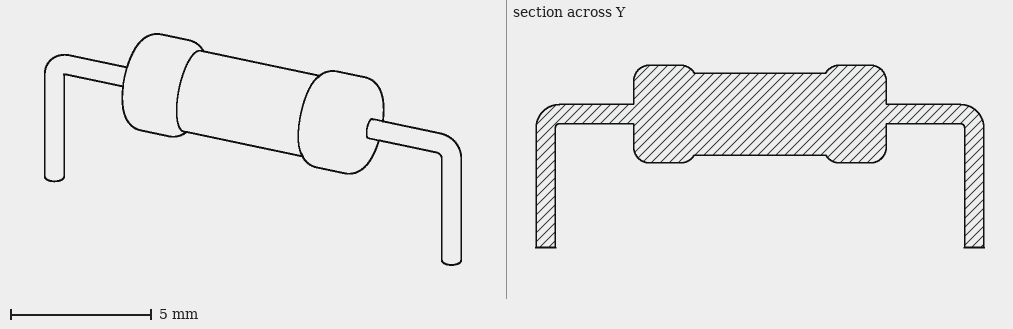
import cadquery as cq

lead_diameter = 0.7
lead_pitch = 15.24
bend_radius = 0.5
overall_height = 6.5

body_length = 9.0
barrel_diameter = 2.94
cap_diameter = 3.5
cap_length = body_length / 4
cap_rounding = cap_diameter / 6

barrel_radius = barrel_diameter / 2
cap_radius = cap_diameter / 2
axis_height = overall_height - cap_radius
half_pitch = lead_pitch / 2
half_body = body_length / 2


def make_barrel():
    """Slim middle of the body, ending halfway inside each cap."""
    half_barrel = half_body - cap_length / 2
    barrel = cq.Workplane("YZ").circle(barrel_radius).extrude(half_barrel, both=True)
    return barrel.translate((0, 0, axis_height))


def make_cap():
    """Round-edged cap on the +X end of the body."""
    cap = cq.Workplane("YZ", origin=(half_body - cap_length, 0, axis_height))
    cap = cap.circle(cap_radius).extrude(cap_length)
    return cap.edges("%CIRCLE").fillet(cap_rounding)


def make_lead():
    """One wire from tip to tip, running through the body and bent down at both ends."""
    bend_start = half_pitch - bend_radius
    bend_bottom = axis_height - bend_radius
    path = (
        cq.Workplane("XZ")
        .moveTo(-half_pitch, 0)
        .lineTo(-half_pitch, bend_bottom)
        .radiusArc((-bend_start, axis_height), bend_radius)
        .lineTo(bend_start, axis_height)
        .radiusArc((half_pitch, bend_bottom), bend_radius)
        .lineTo(half_pitch, 0)
    )
    wire_section = cq.Workplane("XY", origin=(-half_pitch, 0, 0)).circle(lead_diameter / 2)
    return wire_section.sweep(path)


right_cap = make_cap()
left_cap = right_cap.mirror("YZ")

result = make_barrel().union(right_cap).union(left_cap).union(make_lead())